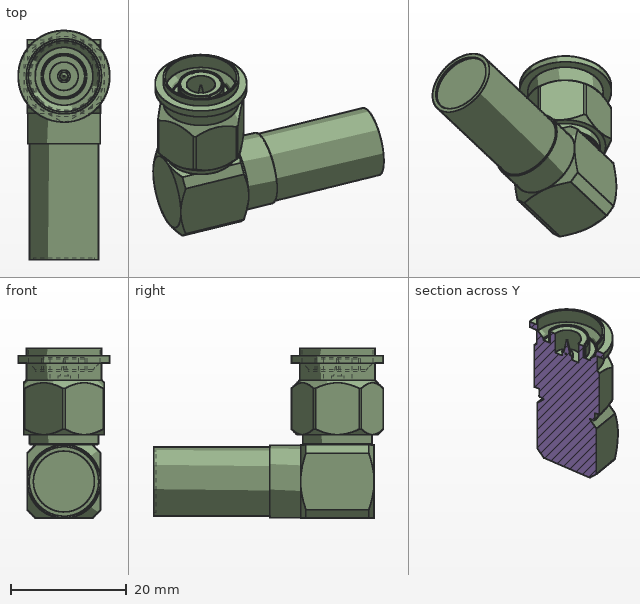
import cadquery as cq
import math

body_side = 12.68
body_half = body_side / 2
body_edge_chamfer = 1.43
body_corner_radius = 8.0
body_end_taper = 0.9

arm_end_y = -31.7
ferrule_radius = 6.3
ferrule_end_y = -11.65
sleeve_radius = 6.0
sleeve_bore_radius = 5.25
sleeve_recess = 0.4

collar_radius = 6.0
collar_chamfer = 0.2
nut_bottom_z = 14.4
nut_top_z = 23.85
nut_sides = 6
nut_across_flats = 13.95
nut_corner_radius = 7.92
nut_bottom_radius = 6.95
rim_radius = 6.5
rim_top_z = 29.35
flange_radius = 7.92
flange_bottom_z = 26.8
flange_top_z = 28.05

socket_radius = 6.15
socket_cone_top_z = 26.82
socket_step_radius = 5.25
socket_step_z = 26.05
socket_ledge_radius = 5.0
socket_ledge_z = 25.67
socket_floor_z = 25.35

contact_radius = 3.92
contact_lip_radius = 3.75
contact_lip_z = 28.0
contact_shoulder_z = 27.55
slot_width = 0.3
slot_count = 4
insulator_radius = 3.55
insulator_top_z = 27.8
insulator_bore_radius = 2.45
insulator_floor_z = 23.77

pin_radius = 1.05
pin_shoulder_z = 24.55
pin_tip_base_radius = 0.7
pin_tip_radius = 0.1
pin_tip_z = 27.5


def turned(profile):
    """Solid of revolution about Z from (radius, z) points."""
    return cq.Workplane("XZ").polyline(profile).close().revolve(360, (0, 0), (0, 1))


def cylinder(radius, bottom_z, top_z):
    return cq.Workplane("XY").workplane(offset=bottom_z).circle(radius).extrude(top_z - bottom_z)


def arm_cylinder(radius, start_y, end_y):
    """Cylinder on the cable arm axis, running towards -Y."""
    plane = cq.Workplane("XZ", origin=(0, start_y, body_half))
    return plane.circle(radius).extrude(start_y - end_y)


def elbow_body():
    block = cq.Workplane("XY").box(body_side, body_side, body_side)
    block = block.edges("|Y").chamfer(body_edge_chamfer)
    shoulder_y = body_half - body_end_taper
    envelope = (
        cq.Workplane("XY")
        .polyline([
            (0, -body_half),
            (body_half, -body_half),
            (body_corner_radius, -shoulder_y),
            (body_corner_radius, shoulder_y),
            (body_half, body_half),
            (0, body_half),
        ])
        .close()
        .revolve(360, (0, 0), (0, 1))
    )
    return block.intersect(envelope).translate((0, 0, body_half))


def cable_arm():
    ferrule = arm_cylinder(ferrule_radius, 0, ferrule_end_y)
    sleeve = arm_cylinder(sleeve_radius, 0, arm_end_y)
    recess = arm_cylinder(sleeve_bore_radius, arm_end_y + sleeve_recess, arm_end_y)
    return ferrule.union(sleeve).cut(recess)


def hex_nut():
    height = nut_top_z - nut_bottom_z
    half_corner_angle = math.pi / nut_sides
    across_corners = nut_across_flats / math.cos(half_corner_angle)
    hexagon = (
        cq.Workplane("XY")
        .workplane(offset=nut_bottom_z)
        .transformed(rotate=(0, 0, 90))
        .polygon(nut_sides, across_corners)
        .extrude(height)
    )
    envelope = turned([
        (0, nut_bottom_z),
        (nut_bottom_radius, nut_bottom_z),
        (nut_corner_radius, nut_bottom_z + nut_corner_radius - nut_bottom_radius),
        (nut_corner_radius, nut_top_z - nut_corner_radius + rim_radius),
        (rim_radius, nut_top_z),
        (0, nut_top_z),
    ])
    return hexagon.intersect(envelope)


def coupling():
    collar = cylinder(collar_radius, body_side, nut_bottom_z).faces("<Z").chamfer(collar_chamfer)
    rim = cylinder(rim_radius, nut_top_z, rim_top_z)
    flange = cylinder(flange_radius, flange_bottom_z, flange_top_z)
    return collar.union(hex_nut()).union(rim).union(flange)


def socket():
    """Round cavity inside the coupling nut, narrowing to a stepped floor."""
    return turned([
        (0, socket_floor_z),
        (socket_ledge_radius, socket_floor_z),
        (socket_ledge_radius, socket_ledge_z),
        (socket_step_radius, socket_step_z),
        (socket_radius, socket_cone_top_z),
        (socket_radius, rim_top_z),
        (0, rim_top_z),
    ])


def outer_contact():
    """Ring of spring fingers standing around the insulator."""
    contact = turned([
        (insulator_radius, socket_floor_z),
        (contact_radius, socket_floor_z),
        (contact_radius, contact_shoulder_z),
        (contact_lip_radius, contact_lip_z),
        (insulator_radius, contact_lip_z),
    ])
    slot_height = contact_lip_z - socket_floor_z
    for index in range(slot_count):
        slot = (
            cq.Workplane("XY")
            .workplane(offset=socket_floor_z)
            .center(insulator_radius, 0)
            .rect(insulator_radius, slot_width)
            .extrude(slot_height)
            .rotate((0, 0, 0), (0, 0, 1), index * 360 / slot_count)
        )
        contact = contact.cut(slot)
    return contact.union(cylinder(insulator_radius, insulator_floor_z, insulator_top_z))


def centre_pin():
    """Shouldered pin with a tapered tip."""
    return turned([
        (0, insulator_floor_z),
        (pin_radius, insulator_floor_z),
        (pin_radius, pin_shoulder_z),
        (pin_tip_base_radius, pin_shoulder_z),
        (pin_tip_radius, pin_tip_z),
        (0, pin_tip_z),
    ])


result = (
    elbow_body()
    .union(cable_arm())
    .union(coupling())
    .cut(socket())
    .union(outer_contact())
    .cut(cylinder(insulator_bore_radius, insulator_floor_z, insulator_top_z))
    .union(centre_pin())
)